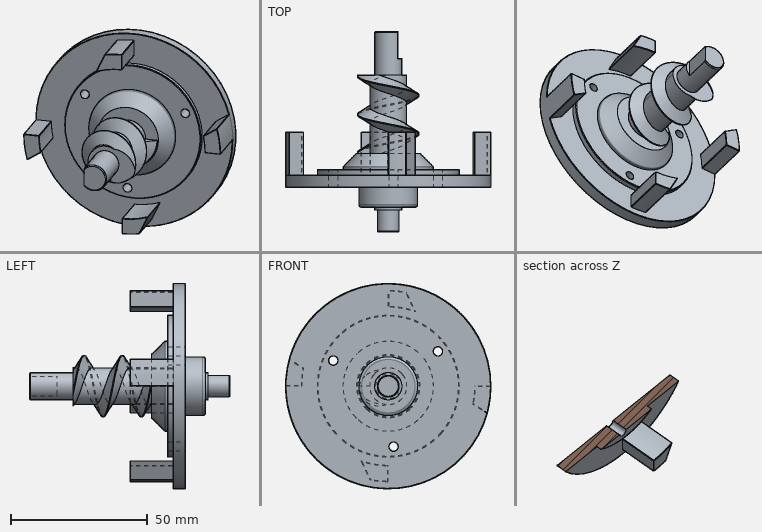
import cadquery as cq
import math


plate_diameter = 75.2
plate_thickness = 4.55
edge_break = 0.2
step_diameter = 52.0
step_height = 2.1
step_chamfer = 0.3
collar_diameter = 33.0
collar_height = 0.95
cone_top_diameter = 23.2
cone_fillet = 0.5

hub_diameter = 21.55
hub_length = 7.3
hub_fillet = 1.0
shoulder_diameter = 10.0
shoulder_length = 1.0
pin_diameter = 8.0
pin_length = 8.0
pin_chamfer = 0.3

core_diameter = 13.5
core_end = 41.1
shaft_diameter = 10.0
shaft_length = 16.0
shaft_chamfer = 0.4
flat_offset = 3.5
flat_length = 10.0

thread_diameter = 22.5
thread_pitch = 14.0
thread_turns = 2.5
thread_start = 12.65
crest_width = 0.4
ridge_root_width = 5.6
root_overlap = 0.75

hole_diameter = 3.33
hole_circle_radius = 22.2
hole_first_angle = 35.0
hole_count = 3

prong_end = 20.25
prong_thickness = 6.0
prong_wide = 10.0
side_prong_radius = plate_diameter / 2
side_prong_inner_width = 6.5
upright_prong_radius = 35.0
upright_prong_outer_width = 6.6

prong_root = plate_thickness / 2
step_top = plate_thickness + step_height
collar_top = step_top + collar_height
cone_height = (collar_diameter - cone_top_diameter) / 2
cone_top = collar_top + cone_height
hub_face = -hub_length
shoulder_face = hub_face - shoulder_length
pin_tip = shoulder_face - pin_length
shaft_tip = core_end + shaft_length


def cylinder(diameter, start, end):
    """Cylinder on the Y axis between two stations."""
    return cq.Workplane("XZ", origin=(0, start, 0)).circle(diameter / 2).extrude(start - end)


def turned(shape, angle):
    """Turn a shape about the part axis, from +X toward +Z for a positive angle."""
    return shape.rotate((0, 0, 0), (0, 1, 0), -angle)


def make_plate():
    plate = cylinder(plate_diameter, 0, plate_thickness).edges().chamfer(edge_break)
    step = cylinder(step_diameter, plate_thickness, step_top).faces(">Y").chamfer(step_chamfer)
    return plate.union(step)


def make_cone():
    """Short collar that tapers at 45 degrees to the root of the screw."""
    collar_radius = collar_diameter / 2
    return (
        cq.Workplane("XY")
        .moveTo(0, step_top)
        .lineTo(collar_radius, step_top)
        .lineTo(collar_radius, collar_top)
        .lineTo(cone_top_diameter / 2, cone_top)
        .lineTo(0, cone_top)
        .close()
        .revolve(360, (0, 0, 0), (0, 1, 0))
        .edges(cq.selectors.NearestToPointSelector((0, collar_top, collar_radius)))
        .fillet(cone_fillet)
    )


def make_hub():
    hub = cylinder(hub_diameter, hub_face, 0).faces("<Y").edges().fillet(hub_fillet)
    shoulder = cylinder(shoulder_diameter, shoulder_face, hub_face)
    pin = cylinder(pin_diameter, pin_tip, shoulder_face).faces("<Y").chamfer(pin_chamfer)
    return hub.union(shoulder).union(pin)


def make_shaft():
    core = cylinder(core_diameter, plate_thickness, core_end)
    shaft = cylinder(shaft_diameter, core_end, shaft_tip).faces(">Y").chamfer(shaft_chamfer)
    flat_cut = cq.Workplane("XY").box(
        shaft_diameter, flat_length, shaft_diameter, centered=(False, False, True)
    )
    shaft = shaft.cut(flat_cut.translate((flat_offset, shaft_tip - flat_length, 0)))
    return core.union(shaft)


def make_thread():
    """Helical ridge that starts on the -X side and runs out at the core end, cut square.

    The ridge is swept along Z and then turned onto the Y axis.
    """
    crest_radius = thread_diameter / 2
    core_radius = core_diameter / 2
    root_radius = core_radius - root_overlap
    half_crest = crest_width / 2
    flank_slope = (ridge_root_width / 2 - half_crest) / (crest_radius - core_radius)
    half_root = half_crest + flank_slope * (crest_radius - root_radius)
    length = thread_turns * thread_pitch
    helix = cq.Wire.makeHelix(thread_pitch, length, root_radius, lefthand=True)
    ridge = (
        cq.Workplane("XZ")
        .polyline([
            (root_radius, -half_root),
            (crest_radius, -half_crest),
            (crest_radius, half_crest),
            (root_radius, half_root),
        ])
        .close()
        .sweep(cq.Workplane(helix), isFrenet=True)
    )
    ridge = ridge.rotate((0, 0, 0), (1, 0, 0), -90).translate((0, thread_start, 0))
    ridge = turned(ridge, 180)
    return ridge.intersect(cylinder(2 * thread_diameter, 0, core_end))


def make_prong(outer_radius, outer_width, inner_width):
    """Curved block standing along +X, with one side on Z = 0 and a tilted side below it."""
    inner_radius = outer_radius - prong_thickness

    def arc_point(radius, width):
        return (math.sqrt(radius ** 2 - width ** 2), -width)

    def arc_middle(radius, width):
        half_angle = math.asin(width / radius) / 2
        return (radius * math.cos(half_angle), -radius * math.sin(half_angle))

    return (
        cq.Workplane("XZ", origin=(0, prong_root, 0))
        .moveTo(inner_radius, 0)
        .lineTo(outer_radius, 0)
        .threePointArc(arc_middle(outer_radius, outer_width), arc_point(outer_radius, outer_width))
        .lineTo(*arc_point(inner_radius, inner_width))
        .threePointArc(arc_middle(inner_radius, inner_width), (inner_radius, 0))
        .close()
        .extrude(prong_root - prong_end)
        .edges("|Y or >Y")
        .chamfer(edge_break)
    )


def make_prongs():
    """Two opposite pairs: one flush with the plate rim, the other set inward."""
    side_prong = make_prong(side_prong_radius, prong_wide, side_prong_inner_width)
    upright_prong = make_prong(upright_prong_radius, upright_prong_outer_width, prong_wide)
    prongs = side_prong.union(turned(side_prong, 180))
    for angle in (90, 270):
        prongs = prongs.union(turned(upright_prong, angle))
    return prongs


def make_holes():
    return (
        cq.Workplane("XZ")
        .polarArray(hole_circle_radius, hole_first_angle, 360, hole_count)
        .circle(hole_diameter / 2)
        .extrude(-step_top)
    )


result = (
    make_plate()
    .union(make_prongs())
    .union(make_cone())
    .union(make_hub())
    .union(make_shaft())
    .union(make_thread())
    .cut(make_holes())
)